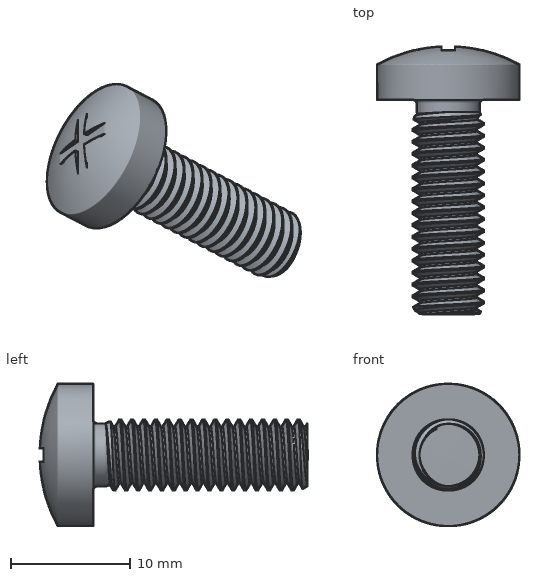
import cadquery as cq
import math


HEAD_RADIUS = 6.0
HEAD_HEIGHT = 4.53
RIM_HEIGHT = 2.98
RIM_EDGE_RADIUS = 0.1
DRIVE_WING_WIDTH = 1.13
DRIVE_DEPTH = 0.34

SHANK_LENGTH = 18.0
NECK_RADIUS = 2.65
NECK_LENGTH = 1.01
NECK_FILLET_RADIUS = 0.3
NECK_EMBEDMENT = RIM_HEIGHT / 2
END_CONE_RADIUS = 2.48
END_CONE_HEIGHT = 0.02

CREST_RADIUS = 3.0
ROOT_RADIUS = 2.41
THREAD_TURNS = 17
PITCH = (SHANK_LENGTH - NECK_LENGTH) / THREAD_TURNS
FLANK_HALF_ANGLE = 30
CREST_FLAT = PITCH / 8
RUNOUT_LENGTH = 0.8
LEAD_IN_LENGTH = 0.68
LEAD_IN_RADIUS = 2.61
CREST_CLEARANCE = 0.11
RIDGE_OVERLAP = 0.11
PLUG_DEPTH = 0.1
EXTRA_TURNS = 2

CORE_SEAM = 200
ENVELOPE_SEAM = 140
NECK_SEAM = 60

THREAD_TOP = -NECK_LENGTH
SHANK_END = -SHANK_LENGTH
SHANK_TIP = SHANK_END - END_CONE_HEIGHT


def revolve_about_y(outline, seam_angle=0):
    """Close a half outline drawn on the XY plane and spin it about the screw axis."""
    body = outline.close().revolve(360, (0, 0, 0), (0, 1, 0))
    return body.rotate((0, 0, 0), (0, 1, 0), seam_angle)


def make_head():
    """Cylindrical rim under a shallow spherical crown."""
    crown_rise = HEAD_HEIGHT - RIM_HEIGHT
    crown_radius = (HEAD_RADIUS**2 + crown_rise**2) / (2 * crown_rise)
    mid_radius = HEAD_RADIUS / 2
    mid_drop = crown_radius - math.sqrt(crown_radius**2 - mid_radius**2)
    head = revolve_about_y(
        cq.Workplane("XY")
        .lineTo(HEAD_RADIUS, 0)
        .lineTo(HEAD_RADIUS, RIM_HEIGHT)
        .threePointArc((mid_radius, HEAD_HEIGHT - mid_drop), (0, HEAD_HEIGHT))
    )
    return head.edges("%CIRCLE").fillet(RIM_EDGE_RADIUS)


def make_drive():
    """Cross of two flat-bottomed slots that run out through the crown."""
    length = 2 * HEAD_RADIUS
    wing = cq.Workplane("XY").box(length, DRIVE_DEPTH, DRIVE_WING_WIDTH)
    cross = wing.union(wing.rotate((0, 0, 0), (0, 1, 0), 90))
    return cross.translate((0, HEAD_HEIGHT - DRIVE_DEPTH / 2, 0))


def make_neck():
    """Filleted neck whose tapered end closes the thread groove at the run-out."""
    fillet_edge = NECK_RADIUS + NECK_FILLET_RADIUS
    runout_slope = (NECK_RADIUS - ROOT_RADIUS) / RUNOUT_LENGTH
    plug_length = RUNOUT_LENGTH + PLUG_DEPTH / runout_slope
    return revolve_about_y(
        cq.Workplane("XY")
        .moveTo(0, NECK_EMBEDMENT)
        .lineTo(fillet_edge, NECK_EMBEDMENT)
        .lineTo(fillet_edge, 0)
        .radiusArc((NECK_RADIUS, -NECK_FILLET_RADIUS), -NECK_FILLET_RADIUS)
        .lineTo(NECK_RADIUS, THREAD_TOP)
        .lineTo(ROOT_RADIUS - PLUG_DEPTH, THREAD_TOP - plug_length)
        .lineTo(0, THREAD_TOP - plug_length),
        NECK_SEAM,
    )


def make_thread_envelope():
    """Space the thread may fill: tapered at both ends, and clear of the crest in between."""
    clear_radius = CREST_RADIUS + CREST_CLEARANCE
    runout_slope = (CREST_RADIUS - NECK_RADIUS) / RUNOUT_LENGTH
    lead_in_slope = (CREST_RADIUS - LEAD_IN_RADIUS) / LEAD_IN_LENGTH
    return revolve_about_y(
        cq.Workplane("XY")
        .moveTo(0, THREAD_TOP)
        .lineTo(NECK_RADIUS, THREAD_TOP)
        .lineTo(clear_radius, THREAD_TOP - (clear_radius - NECK_RADIUS) / runout_slope)
        .lineTo(clear_radius, SHANK_END + (clear_radius - LEAD_IN_RADIUS) / lead_in_slope)
        .lineTo(LEAD_IN_RADIUS, SHANK_END)
        .lineTo(END_CONE_RADIUS, SHANK_END)
        .lineTo(0, SHANK_TIP),
        ENVELOPE_SEAM,
    )


def make_threaded_rod():
    """Root cylinder with a right-handed trapezoidal ridge, longer than the thread at both ends."""
    ridge_foot = ROOT_RADIUS - RIDGE_OVERLAP
    crest_half = CREST_FLAT / 2
    foot_half = crest_half + (CREST_RADIUS - ridge_foot) * math.tan(math.radians(FLANK_HALF_ANGLE))
    ridge_length = (THREAD_TURNS + 2 * EXTRA_TURNS) * PITCH
    helix = cq.Workplane(cq.Wire.makeHelix(PITCH, ridge_length, CREST_RADIUS))
    ridge = (
        cq.Workplane("XZ")
        .moveTo(ridge_foot, -foot_half)
        .lineTo(CREST_RADIUS, -crest_half)
        .lineTo(CREST_RADIUS, crest_half)
        .lineTo(ridge_foot, foot_half)
        .close()
        .sweep(helix, isFrenet=True)
    )
    core = (
        cq.Workplane("XY")
        .workplane(offset=-PITCH)
        .circle(ROOT_RADIUS)
        .extrude(ridge_length + 2 * PITCH)
        .rotate((0, 0, 0), (0, 0, 1), CORE_SEAM)
    )
    first_crest = SHANK_END - EXTRA_TURNS * PITCH
    return core.union(ridge).rotate((0, 0, 0), (1, 0, 0), -90).translate((0, first_crest, 0))


thread = make_threaded_rod().intersect(make_thread_envelope())
shank = thread.union(make_neck())
head = make_head().cut(make_drive())
result = shank.union(head)